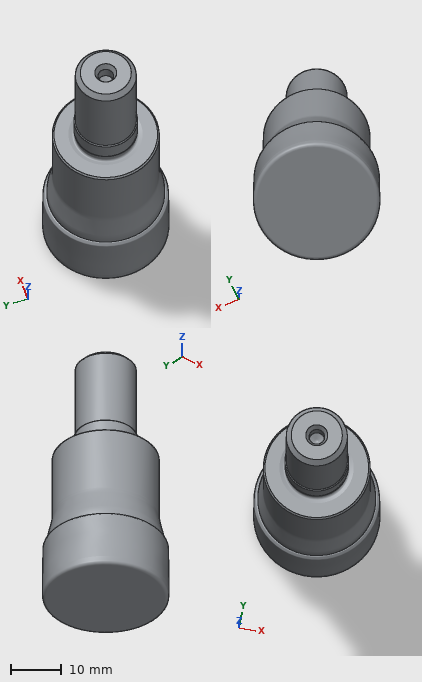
import cadquery as cq
import math

total_height = 55.0
shoulder_z = 33.1
cap_height = 12.2

shank_radius = 12.0 / 2
shank_chamfer = 1.0
land_radius = 12.5 / 2
land_bottom_z = 34.6
land_top_z = 38.2
land_chamfer = 0.2

neck_radius = 12.1 / 2
relief_outer_radius = 14.6 / 2
relief_angle = math.radians(15)
relief_fillet = 0.45

center_mouth_radius = 4.3 / 2
center_hole_radius = 3.0 / 2
center_hole_depth = 3.3
countersink_angle = math.radians(30)
drill_half_angle = math.radians(59)

barrel_radius = 21.0 / 2
barrel_chamfer = 0.35
skirt_radius = 23.15 / 2
flare_top_z = 19.2
flare_angle = math.radians(12)
flare_fillet = 5.5

cap_rim_radius = 24.7 / 2
cap_max_radius = 24.9 / 2
rim_chamfer = 0.5
rim_edge_fillet = 0.35
rim_bottom_z = 10.7
taper_bottom_z = 1.65
cap_foot_radius = 24.8 / 2
foot_fillet = 0.7


def revolve_profile(profile):
    """Turn a closed (radius, z) profile around the Z axis."""
    return profile.close().revolve(360, (0, 0, 0), (0, 1, 0))


def make_center_hole():
    countersink_depth = (center_mouth_radius - center_hole_radius) / math.tan(countersink_angle)
    hole_floor_z = total_height - center_hole_depth
    tip_z = hole_floor_z - center_hole_radius / math.tan(drill_half_angle)
    return revolve_profile(
        cq.Workplane("XZ")
        .moveTo(0, tip_z)
        .lineTo(center_hole_radius, hole_floor_z)
        .lineTo(center_hole_radius, total_height - countersink_depth)
        .lineTo(center_mouth_radius, total_height)
        .lineTo(0, total_height)
    )


def make_body():
    """Shank, undercut, barrel and flared skirt, resting on the cap."""
    arc_rise = flare_fillet * math.sin(flare_angle)
    arc_run = flare_fillet * (1 - math.cos(flare_angle))
    half_arc_rise = flare_fillet * math.sin(flare_angle / 2)
    half_arc_run = flare_fillet * (1 - math.cos(flare_angle / 2))
    cone_run = skirt_radius - barrel_radius - 2 * arc_run
    cone_top_z = flare_top_z - arc_rise
    cone_bottom_z = cone_top_z - cone_run / math.tan(flare_angle)
    flare_bottom_z = cone_bottom_z - arc_rise

    fillet_center_radius = neck_radius + relief_fillet
    relief_inner_radius = fillet_center_radius + relief_fillet * math.sin(relief_angle)
    relief_drop = (relief_outer_radius - relief_inner_radius) * math.tan(relief_angle)
    relief_inner_z = shoulder_z - relief_drop
    fillet_center_z = relief_inner_z + relief_fillet * math.cos(relief_angle)
    mid_angle = (relief_angle - math.pi / 2) / 2
    fillet_mid = (
        fillet_center_radius + relief_fillet * math.sin(mid_angle),
        fillet_center_z - relief_fillet * math.cos(mid_angle),
    )

    body = revolve_profile(
        cq.Workplane("XZ")
        .moveTo(0, cap_height)
        .lineTo(skirt_radius, cap_height)
        .lineTo(skirt_radius, flare_bottom_z)
        .threePointArc(
            (skirt_radius - half_arc_run, flare_bottom_z + half_arc_rise),
            (skirt_radius - arc_run, cone_bottom_z),
        )
        .lineTo(barrel_radius + arc_run, cone_top_z)
        .threePointArc(
            (barrel_radius + half_arc_run, flare_top_z - half_arc_rise),
            (barrel_radius, flare_top_z),
        )
        .lineTo(barrel_radius, shoulder_z - barrel_chamfer)
        .lineTo(barrel_radius - barrel_chamfer, shoulder_z)
        .lineTo(relief_outer_radius, shoulder_z)
        .lineTo(relief_inner_radius, relief_inner_z)
        .threePointArc(fillet_mid, (neck_radius, fillet_center_z))
        .lineTo(neck_radius, land_bottom_z - land_chamfer)
        .lineTo(land_radius, land_bottom_z)
        .lineTo(land_radius, land_top_z - land_chamfer)
        .lineTo(shank_radius, land_top_z)
        .lineTo(shank_radius, total_height - shank_chamfer)
        .lineTo(shank_radius - shank_chamfer, total_height)
        .lineTo(0, total_height)
    )
    return body.cut(make_center_hole())


def make_cap():
    """Slightly tapered disc under the body, with softened rim and foot."""
    tangent_length = rim_edge_fillet * math.tan(math.radians(22.5))
    slant_step = tangent_length * math.sqrt(0.5)
    chamfer_bottom_z = cap_height - rim_chamfer
    cap_top_radius = cap_rim_radius - rim_chamfer
    return revolve_profile(
        cq.Workplane("XZ")
        .lineTo(cap_foot_radius - foot_fillet, 0)
        .radiusArc((cap_foot_radius, foot_fillet), -foot_fillet)
        .lineTo(cap_max_radius, taper_bottom_z)
        .lineTo(cap_rim_radius, rim_bottom_z)
        .lineTo(cap_rim_radius, chamfer_bottom_z - tangent_length)
        .radiusArc((cap_rim_radius - slant_step, chamfer_bottom_z + slant_step), -rim_edge_fillet)
        .lineTo(cap_top_radius + slant_step, cap_height - slant_step)
        .radiusArc((cap_top_radius - tangent_length, cap_height), -rim_edge_fillet)
        .lineTo(0, cap_height)
    )


body = make_body()
cap = make_cap()
result = cq.Compound.makeCompound([body.val(), cap.val()])